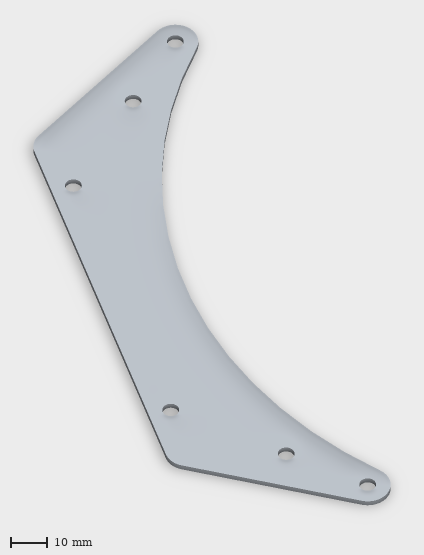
import cadquery as cq
import math

thickness = 1.59
overall_width = 188.27
overall_depth = 56.04

edge_radius = 6.35
ear_x = overall_width / 2 - edge_radius
ear_y = overall_depth - edge_radius
corner_x = 60.0

waist_y = 24.3

hole_diameter = 4.65
low_hole_x = 44.45
low_hole_y = 6.35
hole_step = 25.4
mid_hole_x = low_hole_x + hole_step
mid_hole_y = low_hole_y + hole_step


def point_on_circle(center, radius, angle):
    """Point at the given angle (radians) on a circle."""
    return (center[0] + radius * math.cos(angle), center[1] + radius * math.sin(angle))


def mirrored(point):
    """Point reflected across the YZ plane."""
    return (-point[0], point[1])


def plate_outline():
    """Symmetric outline in which every arc runs tangent into its neighbour."""
    ear = (ear_x, ear_y)
    corner = (corner_x, edge_radius)

    drop = ear_y - waist_y
    concave_radius = (ear_x**2 + drop**2 - edge_radius**2) / (2 * (edge_radius + drop))
    concave_y = waist_y + concave_radius
    to_concave = math.atan2(concave_y - ear_y, -ear_x)
    ear_inner = point_on_circle(ear, edge_radius, to_concave)

    center_line = math.atan2(ear_y - edge_radius, ear_x - corner_x)
    side_normal = center_line - math.pi / 2
    ear_outer = point_on_circle(ear, edge_radius, side_normal)
    ear_tip = point_on_circle(ear, edge_radius, (side_normal + to_concave) / 2)
    corner_outer = point_on_circle(corner, edge_radius, side_normal)
    corner_mid = point_on_circle(corner, edge_radius, (side_normal - math.pi / 2) / 2)
    corner_bottom = (corner_x, 0)

    return (
        cq.Workplane("XY")
        .moveTo(*mirrored(corner_bottom))
        .lineTo(*corner_bottom)
        .threePointArc(corner_mid, corner_outer)
        .lineTo(*ear_outer)
        .threePointArc(ear_tip, ear_inner)
        .threePointArc((0, waist_y), mirrored(ear_inner))
        .threePointArc(mirrored(ear_tip), mirrored(ear_outer))
        .lineTo(*mirrored(corner_outer))
        .threePointArc(mirrored(corner_mid), mirrored(corner_bottom))
        .close()
    )


def hole_centers():
    """Centres of the three hole pairs."""
    one_side = [(low_hole_x, low_hole_y), (mid_hole_x, mid_hole_y), (ear_x, ear_y)]
    return one_side + [mirrored(center) for center in one_side]


plate = plate_outline().extrude(thickness)
holes = cq.Workplane("XY").pushPoints(hole_centers()).circle(hole_diameter / 2).extrude(thickness)
result = plate.cut(holes)